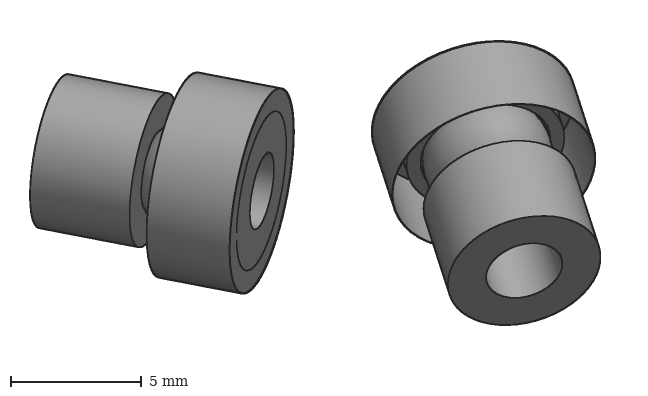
import cadquery as cq

total_length = 8.35
bore_diameter = 3.0

sleeve_diameter = 6.0
sleeve_length = 4.0

cup_diameter = 8.0
cup_wall = 0.025
cup_gap = 1.0
cup_start = sleeve_length + cup_gap
cup_length = total_length - cup_start

boss_diameter = 6.2
boss_depth_below_rim = 1.35
boss_start = cup_start + boss_depth_below_rim
boss_length = total_length - boss_start
socket_diameter = 5.1
socket_depth = 0.5

ball_diameter = 5.0
ball_center = 5.97


def cylinder(diameter, start, length):
    """Cylinder on the X axis, running toward +X from start."""
    return cq.Workplane("YZ", origin=(start, 0, 0)).circle(diameter / 2).extrude(length)


def make_cup():
    """Thin cup whose floor carries the socketed boss."""
    outside = cylinder(cup_diameter, cup_start, cup_length)
    inside = cylinder(cup_diameter - 2 * cup_wall, cup_start, cup_length - cup_wall)
    boss = cylinder(boss_diameter, boss_start, boss_length)
    socket = cylinder(socket_diameter, boss_start, socket_depth)
    return outside.cut(inside).union(boss).cut(socket)


sleeve = cylinder(sleeve_diameter, 0, sleeve_length)
ball = cq.Workplane("YZ", origin=(ball_center, 0, 0)).sphere(ball_diameter / 2)
bore = cylinder(bore_diameter, 0, total_length + ball_diameter)

result = sleeve.cut(bore).union(ball.cut(bore)).union(make_cup().cut(bore)).cut(bore)